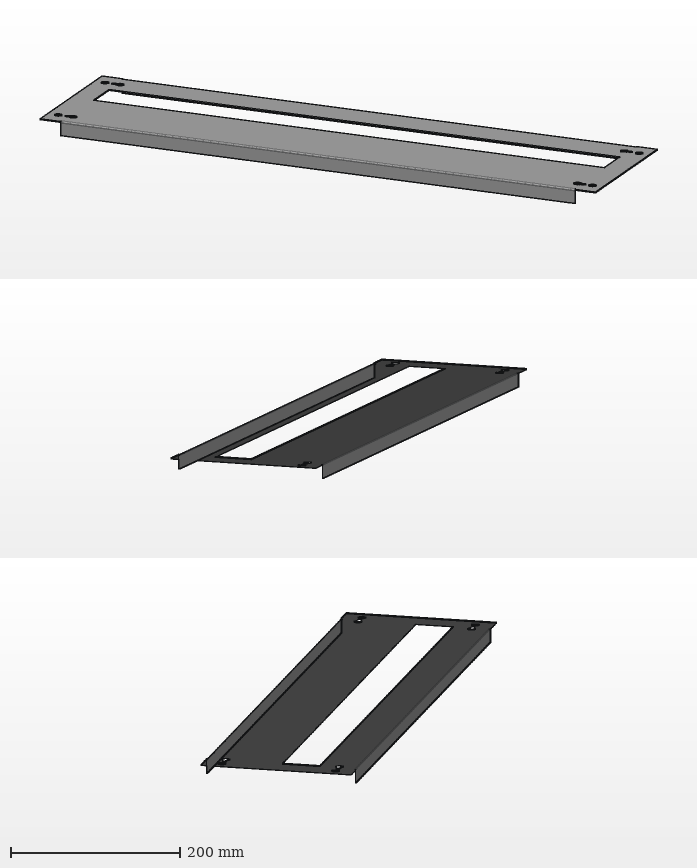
import cadquery as cq

length = 717.0
width = 183.0
height = 18.0
thickness = 1.5
bend_radius = 2.0

flange_end_gap = 26.5
flange_length = length - 2 * flange_end_gap

window_length = 659.5
window_width = 46.0
window_edge_gap = 45.0
window_center_y = width / 2 - window_edge_gap - window_width / 2

hole_diameter = 9.0
hole_end_gap = 13.5
hole_x = length / 2 - hole_end_gap
keyhole_end_gap = 33.0
keyhole_x = length / 2 - keyhole_end_gap
keyhole_slot_width = 5.0
keyhole_slot_reach = 11.0
row_spacing = 138.5


def make_channel():
    """Folded U channel: the panel web with both bent flanges."""
    outer = (
        cq.Workplane("XY")
        .box(flange_length, width, height, centered=(True, True, False))
        .edges("|X and >Z")
        .fillet(bend_radius)
    )
    inner = (
        cq.Workplane("XY")
        .box(flange_length, width - 2 * thickness, height - thickness, centered=(True, True, False))
        .edges("|X and >Z")
        .fillet(bend_radius - thickness)
    )
    return outer.cut(inner)


def make_end_tab(side):
    """Flat full-width panel end beyond the flanges."""
    return (
        cq.Workplane("XY", origin=(side * (length - flange_end_gap) / 2, 0, height - thickness))
        .box(flange_end_gap, width, thickness, centered=(True, True, False))
    )


def make_corner_cutter(side, y):
    """Round hole and a keyhole whose rounded slot points to the panel end."""
    base = cq.Workplane("XY")
    round_holes = (
        base.pushPoints([(side * hole_x, y), (side * keyhole_x, y)])
        .circle(hole_diameter / 2)
        .extrude(height)
    )
    slot = (
        base.center(side * (keyhole_x + keyhole_slot_reach / 2), y)
        .slot2D(keyhole_slot_reach, keyhole_slot_width)
        .extrude(height)
    )
    return round_holes.union(slot)


result = make_channel()
for side in (-1, 1):
    result = result.union(make_end_tab(side))

window = cq.Workplane("XY").center(0, window_center_y).rect(window_length, window_width).extrude(height)
result = result.cut(window)

for side in (-1, 1):
    for row in (-1, 1):
        result = result.cut(make_corner_cutter(side, row * row_spacing / 2))